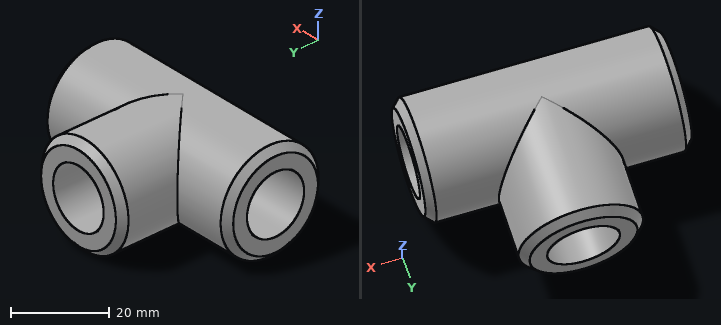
import cadquery as cq

run_length = 56.9
outer_diameter = 26.7
bore_diameter = 15.55
end_chamfer = 1.8

center_to_end = run_length / 2


def run_cylinder(diameter):
    """Cylinder along X, centred on the origin."""
    return cq.Workplane("YZ").circle(diameter / 2).extrude(center_to_end, both=True)


def branch_cylinder(diameter):
    """Cylinder from the run axis out to the branch end at +Y."""
    return cq.Workplane("XZ").circle(diameter / 2).extrude(-center_to_end)


run_body = run_cylinder(outer_diameter).faces("<X or >X").chamfer(end_chamfer)
branch_body = branch_cylinder(outer_diameter).faces(">Y").chamfer(end_chamfer)
body = run_body.union(branch_body)

bores = run_cylinder(bore_diameter).union(branch_cylinder(bore_diameter))

result = body.cut(bores)